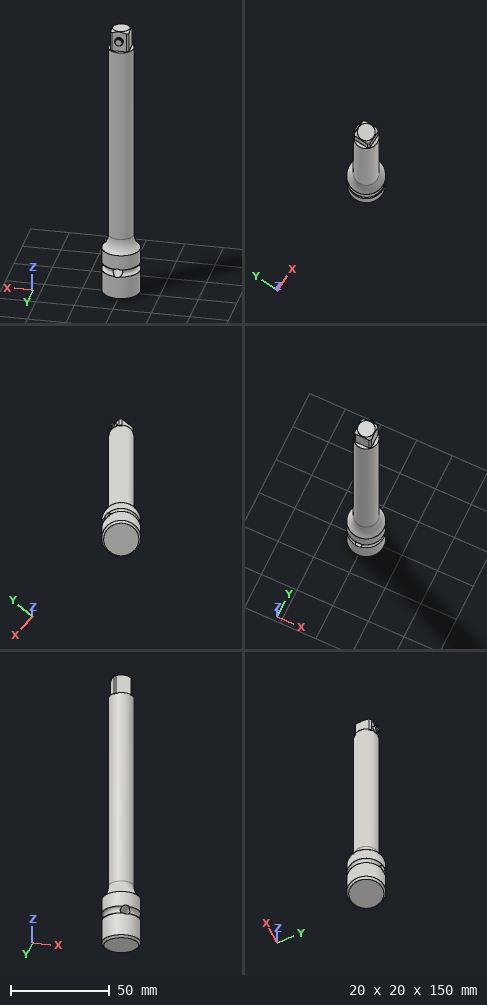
import cadquery as cq
import math

total_length = 150.0
head_diameter = 20.0
head_radius = head_diameter / 2
shaft_radius = 6.6
drive_length = 11.1
shaft_top = total_length - drive_length

base_chamfer_height = 1.2
base_chamfer_width = 1.0
head_top = 25.5
flare_height = 7.5
flare_top = head_top + flare_height
groove_center = 15.5
groove_width = 3.9
groove_depth = 1.6
cross_hole_diameter = 5.0

drive_width = 9.6
drive_corner_radius = 6.2
drive_tip_radius = 4.5
drive_tip_height = 1.0

pin_diameter = 4.2
pin_protrusion = shaft_radius - drive_width / 2
pin_seat_depth = 1.5
pin_tip_chamfer_length = 0.6
pin_tip_chamfer_width = 0.3
pin_center = 144.6


def make_turned_body():
    """Revolve the head, flare and shaft about Z."""
    groove_bottom = groove_center - groove_width / 2
    groove_top = groove_center + groove_width / 2

    flare_run = head_radius - shaft_radius
    flare_radius = (flare_run**2 + flare_height**2) / (2 * flare_run)
    half_angle = math.asin(flare_height / flare_radius) / 2
    flare_middle = (
        shaft_radius + flare_radius * (1 - math.cos(half_angle)),
        flare_top - flare_radius * math.sin(half_angle),
    )

    return (
        cq.Workplane("XZ")
        .lineTo(head_radius - base_chamfer_width, 0)
        .lineTo(head_radius, base_chamfer_height)
        .lineTo(head_radius, groove_bottom)
        .threePointArc((head_radius - groove_depth, groove_center), (head_radius, groove_top))
        .lineTo(head_radius, head_top)
        .threePointArc(flare_middle, (shaft_radius, flare_top))
        .lineTo(shaft_radius, shaft_top)
        .lineTo(0, shaft_top)
        .close()
        .revolve(360, (0, 0), (0, 1))
    )


def make_square_drive():
    """Square with turned corners and a conical tip."""
    square = cq.Workplane("XY", origin=(0, 0, shaft_top)).rect(drive_width, drive_width).extrude(drive_length)
    turned_envelope = (
        cq.Workplane("XZ", origin=(0, 0, shaft_top))
        .lineTo(drive_corner_radius, 0)
        .lineTo(drive_corner_radius, drive_length - drive_tip_height)
        .lineTo(drive_tip_radius, drive_length)
        .lineTo(0, drive_length)
        .close()
        .revolve(360, (0, 0), (0, 1))
    )
    return square.intersect(turned_envelope)


def make_cross_hole():
    """Cutter along Y through the groove of the head."""
    return (
        cq.Workplane("XZ", origin=(0, 0, groove_center))
        .circle(cross_hole_diameter / 2)
        .extrude(head_radius, both=True)
    )


def make_detent_pin():
    """Pin along +Y with a chamfered tip, seated in the drive."""
    seat_floor = drive_width / 2 - pin_seat_depth
    pin_tip = drive_width / 2 + pin_protrusion
    pin_radius = pin_diameter / 2
    return (
        cq.Workplane("XY", origin=(0, 0, pin_center))
        .moveTo(0, seat_floor)
        .lineTo(pin_radius, seat_floor)
        .lineTo(pin_radius, pin_tip - pin_tip_chamfer_length)
        .lineTo(pin_radius - pin_tip_chamfer_width, pin_tip)
        .lineTo(0, pin_tip)
        .close()
        .revolve(360, (0, 0), (0, 1))
    )


detent_pin = make_detent_pin()
extension_bar = make_turned_body().union(make_square_drive()).cut(make_cross_hole()).cut(detent_pin)

result = cq.Compound.makeCompound([extension_bar.val(), detent_pin.val()])